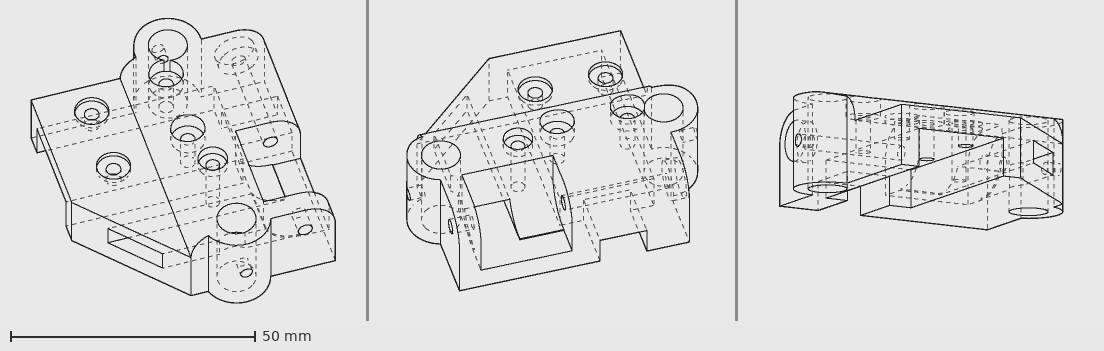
import cadquery as cq

length = 61.5
depth = 50.0
height = 19.0
body_left = -23.25
body_right = 25.8
step_height = 12.55
round_radius = height - step_height
step_depth = 19.05
front_right = 4.85

boss_radius = 7.0
boss_x = length / 2 - boss_radius
boss_y = 29.45
bore_diameter = 8.0
set_screw_diameter = 2.5
set_screw_z = 9.5

hinge_y = depth - round_radius
hinge_z = step_height
hinge_diameter = 3.0
hinge_head_diameter = 8.5
hinge_head_depth = 2.75
pocket_left = 1.8
pocket_right = 21.2
pocket_front = 36.05
pocket_floor = 4.8
floor_front = 44.0

passage_left = 11.2
passage_right = 20.85
passage_height = 4.7

channel_x = -9.15
channel_width = 20.05
channel_height = 7.95
channel_length = 37.95
slot_width = 9.95
slot_height = 6.1

screw_diameter = 3.0
screw_head_diameter = 7.0
screw_columns = (-16.8, -1.8)
front_screw_y = 11.0
rear_screw_y = 26.95
front_head_depth = 1.1
rear_head_depth = 3.7
blind_x = 7.3
blind_diameter = 2.8
blind_head_diameter = 6.0
blind_head_depth = 2.15


def box(x_min, x_max, y_min, y_max, z_min, z_max):
    """Box given by its limits along each axis."""
    size = (x_max - x_min, y_max - y_min, z_max - z_min)
    return cq.Workplane("XY").box(*size, centered=False).translate((x_min, y_min, z_min))


def vertical_cylinder(x, y, diameter, z_min, z_max):
    base = cq.Workplane("XY", origin=(x, y, z_min))
    return base.circle(diameter / 2).extrude(z_max - z_min)


def cross_cylinder(y, z, diameter, x_min, x_max):
    """Cylinder along X."""
    base = cq.Workplane("YZ", origin=(x_min, y, z))
    return base.circle(diameter / 2).extrude(x_max - x_min)


def screw_hole(x, y, diameter, head_diameter, top, head_depth, bottom):
    """Vertical hole with a flat-bottomed head recess."""
    head = vertical_cylinder(x, y, head_diameter, top - head_depth, height)
    return head.union(vertical_cylinder(x, y, diameter, bottom, top))


def side_profile():
    """Stepped and rounded side outline, extruded over the full length."""
    arc_offset = round_radius * 0.5 ** 0.5
    front_center_y = step_depth + round_radius
    return (
        cq.Workplane("YZ", origin=(-length / 2, 0, 0))
        .lineTo(depth, 0)
        .lineTo(depth, hinge_z)
        .threePointArc((hinge_y + arc_offset, hinge_z + arc_offset), (hinge_y, height))
        .lineTo(front_center_y, height)
        .threePointArc(
            (front_center_y - arc_offset, step_height + arc_offset),
            (step_depth, step_height),
        )
        .lineTo(0, step_height)
        .close()
        .extrude(length)
    )


def plan_outline():
    """Body with its slanted front right corner, joined to a slot shape ending in the bosses."""
    corners = [
        (body_left, 0),
        (front_right, 0),
        (body_right, step_depth),
        (body_right, depth),
        (body_left, depth),
    ]
    plan = cq.Workplane("XY").polyline(corners).close().extrude(height)
    bosses = cq.Workplane("XY", origin=(0, boss_y, 0)).slot2D(length, 2 * boss_radius).extrude(height)
    return plan.union(bosses)


def hinge_pocket():
    rounded = cross_cylinder(
        hinge_y, hinge_z, 2 * (hinge_y - pocket_front), pocket_left, pocket_right
    )
    upper = box(pocket_left, pocket_right, pocket_front, depth, hinge_z, height)
    lower = box(pocket_left, pocket_right, floor_front, depth, pocket_floor, height)
    return rounded.union(upper).union(lower)


def underside_channel():
    wide = box(
        channel_x - channel_width / 2, channel_x + channel_width / 2,
        0, channel_length, 0, channel_height,
    )
    slot = box(
        channel_x - slot_width / 2, channel_x + slot_width / 2,
        0, depth, 0, slot_height,
    )
    return wide.union(slot)


result = side_profile().intersect(plan_outline())
result = result.cut(hinge_pocket())
result = result.cut(underside_channel())
result = result.cut(
    box(passage_left, passage_right, 0, depth, pocket_floor, pocket_floor + passage_height)
)

result = result.cut(cross_cylinder(hinge_y, hinge_z, hinge_diameter, body_left, body_right))
result = result.cut(
    cross_cylinder(
        hinge_y, hinge_z, hinge_head_diameter, body_left, body_left + hinge_head_depth
    )
)

for x in (-boss_x, boss_x):
    result = result.cut(vertical_cylinder(x, boss_y, bore_diameter, 0, height))
for x_min, x_max in ((-length / 2, -boss_x), (boss_x, length / 2)):
    result = result.cut(cross_cylinder(boss_y, set_screw_z, set_screw_diameter, x_min, x_max))

for x in screw_columns:
    for y, top, head_depth in (
        (front_screw_y, step_height, front_head_depth),
        (rear_screw_y, height, rear_head_depth),
    ):
        result = result.cut(
            screw_hole(x, y, screw_diameter, screw_head_diameter, top, head_depth, 0)
        )

result = result.cut(
    screw_hole(
        blind_x, boss_y, blind_diameter, blind_head_diameter,
        height, blind_head_depth, pocket_floor,
    )
)